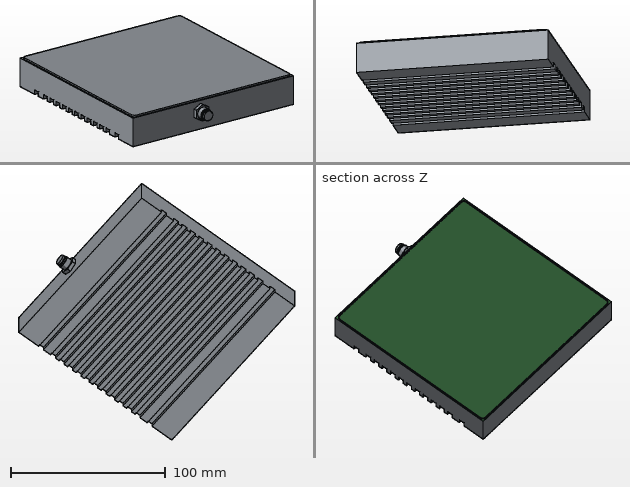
import cadquery as cq
import math

overall_length = 136.0

housing_side = 127.0
housing_height = 20.0

slot_width = 4.0
slot_depth = 3.1
inner_slot_count = 11
inner_slot_span = 70.0
slot_pitch = inner_slot_span / (inner_slot_count - 1)
outer_slot_offset = 45.0

recess_inset = 1.0
recess_depth = 1.0
plate_corner_radius = 2.5
cover_gap = 0.2
cover_rise = 1.0

connector_offset = 10.0
connector_y = housing_side / 2 - connector_offset
connector_z = 12.1
nut_across_flats = 10.0
nut_thickness = 2.5
barrel_diameter = 8.0
barrel_length = 3.7
groove_diameter = 6.8
groove_length = 1.0
collar_diameter = 7.2
collar_length = 0.5
tip_diameter = 6.8


def make_housing():
    block = cq.Workplane("XY").box(housing_side, housing_side, housing_height, centered=False)
    middle = housing_side / 2
    inner_offsets = [i * slot_pitch - inner_slot_span / 2 for i in range(inner_slot_count)]
    for offset in [-outer_slot_offset, *inner_offsets, outer_slot_offset]:
        slot = (
            cq.Workplane("XY")
            .box(slot_width, housing_side, slot_depth, centered=(True, False, False))
            .translate((middle + offset, 0, 0))
        )
        block = block.cut(slot)
    recess = make_rounded_plate(recess_inset, recess_depth)
    return block.cut(recess)


def make_rounded_plate(inset, thickness):
    side = housing_side - 2 * inset
    return (
        cq.Workplane("XY", origin=(housing_side / 2, housing_side / 2, housing_height - recess_depth))
        .rect(side, side)
        .extrude(thickness)
        .edges("|Z")
        .fillet(plate_corner_radius)
    )


def make_cover():
    return make_rounded_plate(recess_inset + cover_gap, recess_depth + cover_rise)


def make_connector():
    across_corners = nut_across_flats / math.cos(math.pi / 6)
    base_plane = cq.Plane(
        origin=(housing_side, connector_y, connector_z), xDir=(0, 0, 1), normal=(1, 0, 0)
    )
    connector = cq.Workplane(base_plane).polygon(6, across_corners).extrude(nut_thickness)

    body_length = overall_length - housing_side
    tip_length = body_length - nut_thickness - barrel_length - groove_length - collar_length
    sections = [
        (barrel_diameter, barrel_length),
        (groove_diameter, groove_length),
        (collar_diameter, collar_length),
        (tip_diameter, tip_length),
    ]
    for diameter, length in sections:
        connector = connector.faces(">X").workplane().circle(diameter / 2).extrude(length)
    return connector


housing = make_housing()
cover = make_cover()
connector = make_connector()

result = cq.Compound.makeCompound([housing.val(), cover.val(), connector.val()])